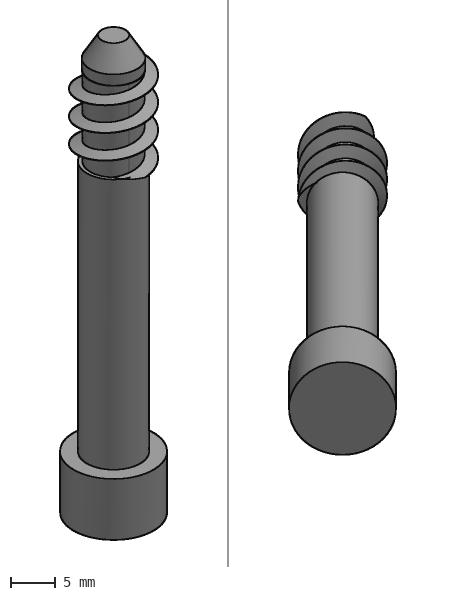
import cadquery as cq

total_length = 62.5
head_height = 8.0
thread_length = 12.0
tip_cone_height = 3.0
tip_collar_height = 1.5
cone_base = total_length - tip_cone_height
thread_top = cone_base - tip_collar_height
shoulder = thread_top - thread_length

head_diameter = 12.0
shank_diameter = 8.0
core_diameter = 7.0
tip_diameter = 7.1
tip_end_diameter = 3.5
thread_diameter = 10.0

pitch = 3.6
root_width = 1.0
crest_width = 0.05
root_overlap = 0.2
start_drop = 0.2


def make_body():
    """Revolve the head, shank, core and conical tip as one profile."""
    profile = (
        cq.Workplane("XZ")
        .moveTo(0, 0)
        .lineTo(head_diameter / 2, 0)
        .lineTo(head_diameter / 2, head_height)
        .lineTo(shank_diameter / 2, head_height)
        .lineTo(shank_diameter / 2, shoulder)
        .lineTo(core_diameter / 2, shoulder)
        .lineTo(core_diameter / 2, thread_top)
        .lineTo(tip_diameter / 2, thread_top)
        .lineTo(tip_diameter / 2, cone_base)
        .lineTo(tip_end_diameter / 2, total_length)
        .lineTo(0, total_length)
        .close()
    )
    return profile.revolve(360, (0, 0, 0), (0, 1, 0))


def make_thread():
    """Sweep the ridge past both ends, then trim it flat to the threaded length."""
    core_radius = core_diameter / 2
    inner_radius = core_radius - root_overlap
    crest_radius = thread_diameter / 2
    flank_slope = (root_width - crest_width) / 2 / (crest_radius - core_radius)
    inner_half_width = root_width / 2 + flank_slope * root_overlap
    start = shoulder - start_drop - pitch
    sweep_height = thread_length + 3 * pitch
    path = cq.Wire.makeHelix(pitch, sweep_height, core_radius, cq.Vector(0, 0, start))
    ridge = (
        cq.Workplane("XZ")
        .polyline([
            (inner_radius, start - inner_half_width),
            (crest_radius, start - crest_width / 2),
            (crest_radius, start + crest_width / 2),
            (inner_radius, start + inner_half_width),
        ])
        .close()
        .sweep(path, isFrenet=True)
    )
    threaded_zone = (
        cq.Workplane("XY")
        .workplane(offset=shoulder)
        .circle(thread_diameter)
        .extrude(thread_length)
    )
    return ridge.intersect(threaded_zone)


result = make_body().union(make_thread())